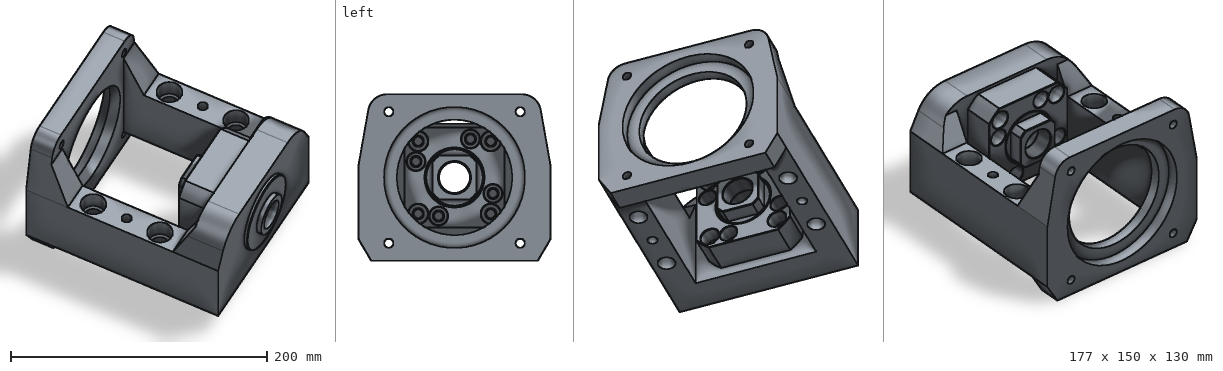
import cadquery as cq
import math


plate_thickness = 19.0
plate_half_width = 75.0
plate_half_height = 65.0
plate_bottom_half_width = 65.0
plate_side_taper = 10.0
plate_corner_radius = 15.0
pilot_diameter = 110.0
pilot_depth = 10.0
window_diameter = 90.0
motor_bolt_circle = 145.0
motor_bolt_angle = 45.0
motor_hole_diameter = 7.0

rail_top = 9.2
rail_bottom = -48.0
rail_width = 24.4
rail_hole_inset = 12.2
mount_hole_x = (53.0, 112.0)
mount_hole_diameter = 14.0
mount_bore_diameter = 20.0
mount_bore_depth = 15.0
dowel_hole_diameter = 8.0

wall_front = 142.5
wall_back = 170.0
wall_top = 42.0
wall_shoulder_half_width = 58.5
wall_corner_radius = 30.0

plate_gusset_end = 37.0
plate_gusset_top = 45.4
wall_gusset_start = 129.9
wall_gusset_top = 33.0

housing_front = 116.0
housing_half_width = 39.3
housing_turned_diameter = 97.7
housing_chamfer = 0.45
recess_diameter = 46.0
recess_depth = 3.0
recess_chamfer = 0.5

corner_bolt_circle = 80.0
corner_bolt_angle = 45.0
corner_bore_diameter = 15.0
corner_hole_diameter = 9.0
ring_bolt_circle = 65.0
ring_bolt_angle = 22.5
ring_bore_diameter = 14.0
ring_hole_diameter = 9.0
bolt_bore_depth = 13.0
bolt_bore_chamfer = 0.5
tapped_hole_diameter = 7.0
tapped_hole_depth = 17.5

nut_front = 104.0
nut_half_width = 17.4
nut_turned_diameter = 42.8
nut_chamfer = 0.6
nut_bore_diameter = 24.8
nut_bore_depth = 15.0
nut_bore_chamfer = 0.6
collar_front = 116.5
collar_diameter = 45.0
collar_chamfer = 0.6

shaft_diameter = 34.0
shaft_bore_diameter = 24.0
shaft_end = 177.0

cover_diameter = 64.0
cover_thickness = 2.9
cover_chamfer = 0.6


def disc(diameter, x_start, x_end):
    """Cylinder about the X axis."""
    return cq.Workplane("YZ", origin=(x_start, 0, 0)).circle(diameter / 2).extrude(x_end - x_start)


def cylinders(points, diameter, x_start, x_end):
    """Cylinders parallel to X at the given (Y, Z) points."""
    face = cq.Workplane("YZ", origin=(x_start, 0, 0))
    return face.pushPoints(points).circle(diameter / 2).extrude(x_end - x_start)


def chamfered_bore(points, diameter, x_start, x_end, chamfer):
    """Cutters for bores parallel to X whose mouths at x_start are widened by a chamfer."""
    mouth = (
        cq.Workplane("YZ", origin=(x_start, 0, 0))
        .pushPoints(points)
        .circle(diameter / 2 + chamfer)
        .extrude(chamfer, taper=45)
    )
    return cylinders(points, diameter, x_start, x_end).union(mouth)


def mirrored_outline(right_side, x_start, length):
    """Extrude along X an outline symmetric about Y = 0, given its (Y, Z) points on the +Y side."""
    left_side = [(-y, z) for y, z in reversed(right_side)]
    face = cq.Workplane("YZ", origin=(x_start, 0, 0))
    return face.polyline(right_side + left_side).close().extrude(length)


def bolt_circle(diameter, first_angle):
    """Four (Y, Z) points equally spaced on a bolt circle."""
    angles = [math.radians(first_angle + 90 * k) for k in range(4)]
    return [(diameter / 2 * math.cos(a), diameter / 2 * math.sin(a)) for a in angles]


def plate_outline(x_start, length):
    """Flange outline: cut-off lower corners, leaning upper sides and rounded top corners."""
    lean = (plate_half_height - rail_top) * math.tan(math.radians(plate_side_taper))
    right_side = [
        (plate_bottom_half_width, -plate_half_height),
        (plate_half_width, rail_bottom),
        (plate_half_width, rail_top),
        (plate_half_width - lean, plate_half_height),
    ]
    return mirrored_outline(right_side, x_start, length).edges("|X and >Z").fillet(plate_corner_radius)


def wall_outline(x_start, length):
    """End wall outline: vertical lower sides, sloping upper sides and large rounded corners."""
    right_side = [
        (plate_half_width, rail_bottom),
        (plate_half_width, rail_top),
        (wall_shoulder_half_width, wall_top),
    ]
    return mirrored_outline(right_side, x_start, length).edges("|X and >Z").fillet(wall_corner_radius)


def rail_bands(points):
    """Extrude an (X, Z) profile across the width of both rails."""
    band = cq.Workplane("XZ", origin=(0, plate_half_width, 0)).polyline(points).close().extrude(rail_width)
    return band.union(band.mirror("XZ"))


def plate_gussets():
    """Sloping ribs on top of the rails behind the flange, trimmed to the flange outline."""
    profile = [
        (0, rail_top),
        (plate_gusset_end, rail_top),
        (plate_thickness, plate_gusset_top),
        (0, plate_gusset_top),
    ]
    return rail_bands(profile).intersect(plate_outline(0, plate_gusset_end))


def wall_gussets():
    """Sloping ribs on top of the rails before the end wall, trimmed to the wall outline."""
    profile = [
        (wall_back, rail_top),
        (wall_gusset_start, rail_top),
        (wall_front, wall_gusset_top),
        (wall_back, wall_gusset_top),
    ]
    return rail_bands(profile).intersect(wall_outline(wall_gusset_start, wall_back - wall_gusset_start))


def frame():
    """Flange plate, end wall, rails and gussets as one body."""
    rails = rail_bands([(0, rail_bottom), (wall_back, rail_bottom), (wall_back, rail_top), (0, rail_top)])
    return (
        plate_outline(0, plate_thickness)
        .union(wall_outline(wall_front, wall_back - wall_front))
        .union(rails)
        .union(plate_gussets())
        .union(wall_gussets())
    )


def bore_flange(body):
    """Stepped motor pilot and the four motor bolt holes in the flange."""
    bolt_points = bolt_circle(motor_bolt_circle, motor_bolt_angle)
    return (
        body.cut(disc(pilot_diameter, 0, pilot_depth))
        .cut(disc(window_diameter, 0, plate_thickness))
        .cut(cylinders(bolt_points, motor_hole_diameter, 0, plate_thickness))
    )


def drill_rails(body):
    """Counterbored mounting holes and a central dowel hole in each rail."""
    hole_y = plate_half_width - rail_hole_inset
    mount_points = [(x, side * hole_y) for x in mount_hole_x for side in (-1, 1)]
    dowel_points = [(sum(mount_hole_x) / 2, side * hole_y) for side in (-1, 1)]
    rail_height = rail_top - rail_bottom
    top = cq.Workplane("XY", origin=(0, 0, rail_top))
    return (
        body.cut(top.pushPoints(mount_points).circle(mount_hole_diameter / 2).extrude(-rail_height))
        .cut(top.pushPoints(mount_points).circle(mount_bore_diameter / 2).extrude(-mount_bore_depth))
        .cut(top.pushPoints(dowel_points).circle(dowel_hole_diameter / 2).extrude(-rail_height))
    )


def turned_square(half_width, diameter, x_start, x_end, chamfer):
    """Square block with corners turned to a diameter and a chamfered front face."""
    return (
        cq.Workplane("YZ", origin=(x_start, 0, 0))
        .rect(2 * half_width, 2 * half_width)
        .extrude(x_end - x_start)
        .intersect(disc(diameter, x_start, x_end))
        .faces("<X")
        .chamfer(chamfer)
    )


def bolt_holes(points, bore_diameter, hole_diameter):
    """Cutters for counterbored holes through the housing that continue as tapped holes in the wall."""
    bore_end = housing_front + bolt_bore_depth
    return (
        chamfered_bore(points, bore_diameter, housing_front, bore_end, bolt_bore_chamfer)
        .union(cylinders(points, hole_diameter, housing_front, wall_front))
        .union(cylinders(points, tapped_hole_diameter, wall_front, wall_front + tapped_hole_depth))
    )


def add_housing(body):
    """Bearing housing on the end wall with its front recess and two sets of bolt holes."""
    block = turned_square(
        housing_half_width, housing_turned_diameter, housing_front, wall_front, housing_chamfer
    )
    recess_end = housing_front + recess_depth
    corner_points = bolt_circle(corner_bolt_circle, corner_bolt_angle)
    ring_points = bolt_circle(ring_bolt_circle, ring_bolt_angle)
    return (
        body.union(block)
        .cut(chamfered_bore([(0, 0)], recess_diameter, housing_front, recess_end, recess_chamfer))
        .cut(bolt_holes(corner_points, corner_bore_diameter, corner_hole_diameter))
        .cut(bolt_holes(ring_points, ring_bore_diameter, ring_hole_diameter))
    )


def add_shaft(body):
    """Nut, collar, bearing cover and shaft end, with the stepped bore through them all."""
    nut = turned_square(nut_half_width, nut_turned_diameter, nut_front, collar_front, nut_chamfer)
    collar = disc(collar_diameter, collar_front, wall_front).faces("<X").chamfer(collar_chamfer)
    cover = disc(cover_diameter, wall_back, wall_back + cover_thickness).faces(">X").chamfer(cover_chamfer)
    shaft = disc(shaft_diameter, wall_back, shaft_end)
    nut_bore_end = nut_front + nut_bore_depth
    nut_bore = chamfered_bore([(0, 0)], nut_bore_diameter, nut_front, nut_bore_end, nut_bore_chamfer)
    return (
        body.union(collar)
        .union(nut)
        .union(cover)
        .union(shaft)
        .cut(nut_bore)
        .cut(disc(shaft_bore_diameter, nut_front, shaft_end))
    )


result = add_shaft(add_housing(drill_rails(bore_flange(frame()))))